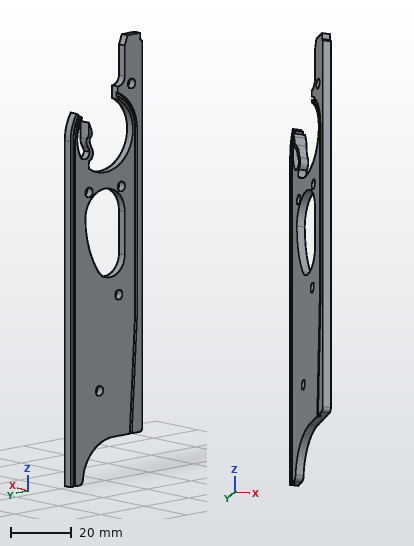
import cadquery as cq
import math

length = 148.0
width = 32.5
thickness = 2.8
boss_height = 1.3
groove_depth = 0.9
hole_diameter = 3.3

ring_y = 16.9
ring_z = 116.0
opening_radius = 12.6
arm_radius = width - ring_y
groove_inner_radius = 13.5
groove_outer_radius = 14.5
arm_end_angle = 34.5

tongue_y = 8.0
tongue_bevel_width = 1.3
tongue_bevel_height = 3.3
notch_width = 0.9
notch_height = 2.0
notch_bevel_height = 0.9
ledge_fillet = 3.1
ledge_z = 131.4

foot_z = 14.2
foot_corner_radius = 1.3
foot_arc_radius = 13.6
foot_arc_y = 13.3
toe_radius = 1.8

slot_radius = 2.2
slot_z = 111.3
latch_outer_radius = 8.6
latch_root = (24.4, 112.6)
latch_tip = (25.5, 121.5)
latch_tip_inner = (24.9, 120.2)
latch_shoulder_mid = (24.3, 118.7)
latch_shoulder = (24.0, 117.0)
latch_neck_mid = (23.7, 114.3)
boss_bottom_z = 114.7
boss_ramp_top_z = 118.1

bump_start = (22.8, 112.2)
bump_crest = (22.3, 111.0)
bump_end = (23.8, 108.3)
throat_mid = (24.3, 107.2)
throat_end_y = 24.0

window_top_radius = 8.9
window_top_z = 89.1
window_bottom_radius = 6.7
window_bottom_z = 74.6

hole_places = [(4.9, 131.5), (24.1, 97.7), (9.5, 97.7), (10.7, 61.5), (19.4, 30.5)]

groove_bend_z = 53.3
groove_foot_shift = 2.4


def ring_point(radius, degrees):
    """Point on a circle about the ring centre, angle measured from +Y toward +Z."""
    angle = math.radians(degrees)
    return (ring_y + radius * math.cos(angle), ring_z + radius * math.sin(angle))


def ring_point_at_y(radius, y, side):
    """Point of a ring circle at a given y, above (side = 1) or below (side = -1) the centre."""
    return (y, ring_z + side * math.sqrt(radius**2 - (y - ring_y) ** 2))


def ring_point_at_z(radius, z):
    """Point of a ring circle at a given z, on the +Y side of the centre."""
    return (ring_y + math.sqrt(radius**2 - (z - ring_z) ** 2), z)


def toward(start, end, distance):
    """Point at a distance from start, in the direction of end."""
    ratio = distance / math.dist(start, end)
    return (start[0] + ratio * (end[0] - start[0]), start[1] + ratio * (end[1] - start[1]))


def arc_middle(center, radius, start, end):
    """Middle of the shorter arc about center from start to end."""
    chord_middle = ((start[0] + end[0]) / 2, (start[1] + end[1]) / 2)
    return toward(center, chord_middle, radius)


def draw_latch(sketch):
    """Continue a sketch from the latch root up the slot side, over the tip and down to the bump."""
    slot_side_top = ring_point(latch_outer_radius, 0)
    slot_side_mid = arc_middle((ring_y, ring_z), latch_outer_radius, latch_root, slot_side_top)
    return (
        sketch.lineTo(*latch_root)
        .threePointArc(slot_side_mid, slot_side_top)
        .lineTo(*latch_tip)
        .lineTo(*latch_tip_inner)
        .threePointArc(latch_shoulder_mid, latch_shoulder)
        .threePointArc(latch_neck_mid, bump_start)
    )


def plate():
    ring = (ring_y, ring_z)

    foot_center = (foot_arc_y, foot_z - foot_arc_radius)
    toe_rise = foot_center[1] - toe_radius
    toe_center = (
        foot_arc_y + math.sqrt((foot_arc_radius + toe_radius) ** 2 - toe_rise**2),
        toe_radius,
    )
    toe_start = toward(foot_center, toe_center, foot_arc_radius)
    toe_end = (toe_center[0], 0)
    foot_start = (foot_arc_y, foot_z)

    arm_start = (width, ring_z)
    arm_tip = ring_point(arm_radius, arm_end_angle)
    arm_inner_tip = ring_point(opening_radius, arm_end_angle)

    slot_center = ring_point_at_z(opening_radius - slot_radius, slot_z)
    slot_start = toward(slot_center, ring, -slot_radius)
    slot_bottom = (slot_center[0], slot_z - slot_radius)
    slot_end = (slot_center[0] - slot_radius, slot_z)

    throat_end = ring_point_at_y(opening_radius, throat_end_y, -1)
    fillet_center = (tongue_y + ledge_fillet, ledge_z + ledge_fillet)
    fillet_start = (fillet_center[0], ledge_z)
    fillet_end = (tongue_y, fillet_center[1])
    ledge_bottom = ring_point_at_y(opening_radius, fillet_center[0], 1)

    corner_center = (foot_corner_radius, foot_z + foot_corner_radius)
    corner_start = (0, corner_center[1])
    corner_end = (foot_corner_radius, foot_z)

    sketch = (
        cq.Workplane("YZ")
        .moveTo(*corner_start)
        .threePointArc(arc_middle(corner_center, foot_corner_radius, corner_start, corner_end), corner_end)
        .lineTo(*foot_start)
        .threePointArc(arc_middle(foot_center, foot_arc_radius, foot_start, toe_start), toe_start)
        .threePointArc(arc_middle(toe_center, toe_radius, toe_start, toe_end), toe_end)
        .lineTo(width, 0)
        .lineTo(*arm_start)
        .threePointArc(arc_middle(ring, arm_radius, arm_start, arm_tip), arm_tip)
        .lineTo(*arm_inner_tip)
        .threePointArc(arc_middle(ring, opening_radius, arm_inner_tip, slot_start), slot_start)
        .threePointArc(slot_bottom, slot_end)
    )
    sketch = (
        draw_latch(sketch)
        .threePointArc(bump_crest, bump_end)
        .threePointArc(throat_mid, throat_end)
        .threePointArc(ring_point(opening_radius, 180), ledge_bottom)
        .lineTo(*fillet_start)
        .threePointArc(arc_middle(fillet_center, ledge_fillet, fillet_start, fillet_end), fillet_end)
        .lineTo(tongue_y, length - tongue_bevel_height)
        .lineTo(tongue_y - tongue_bevel_width, length)
        .lineTo(notch_width, length)
        .lineTo(notch_width, length - notch_height)
        .lineTo(0, length - notch_height - notch_bevel_height)
        .close()
    )
    return sketch.extrude(thickness)


def latch_boss():
    """Raised latch tip on the -X face, running out at its lower end in an S-shaped ramp."""
    sketch = cq.Workplane("YZ", origin=(-boss_height, 0, 0)).moveTo(*bump_start)
    latch = draw_latch(sketch).close().extrude(boss_height + thickness)

    ramp_middle = (-boss_height / 2, (boss_ramp_top_z + boss_bottom_z) / 2)
    side_profile = (
        cq.Workplane("XZ")
        .moveTo(-boss_height, length)
        .lineTo(-boss_height, boss_ramp_top_z)
        .tangentArcPoint(ramp_middle, relative=False)
        .tangentArcPoint((0, boss_bottom_z), relative=False)
        .lineTo(thickness, boss_bottom_z)
        .lineTo(thickness, length)
        .close()
        .extrude(-width)
    )
    return latch.intersect(side_profile)


def window():
    side_y = ring_y + window_top_radius
    bottom_y = ring_y - window_top_radius + window_bottom_radius

    across = side_y - bottom_y
    drop = window_top_z - window_bottom_z
    side_radius = (across**2 + drop**2 - window_bottom_radius**2) / (2 * (across - window_bottom_radius))
    side_center = (side_y - side_radius, window_top_z)
    side_start = (side_y, window_top_z)
    side_end = toward(side_center, (bottom_y, window_bottom_z), side_radius)

    return (
        cq.Workplane("YZ")
        .moveTo(ring_y - window_top_radius, window_top_z)
        .threePointArc((ring_y, window_top_z + window_top_radius), side_start)
        .threePointArc(arc_middle(side_center, side_radius, side_start, side_end), side_end)
        .threePointArc(
            (bottom_y, window_bottom_z - window_bottom_radius),
            (ring_y - window_top_radius, window_bottom_z),
        )
        .close()
        .extrude(thickness)
    )


def holes():
    return cq.Workplane("YZ").pushPoints(hole_places).circle(hole_diameter / 2).extrude(thickness)


def groove():
    """One arched groove in the -X face with a leg down each side of the plate."""
    inner = groove_inner_radius
    outer = groove_outer_radius
    return (
        cq.Workplane("YZ")
        .moveTo(ring_y + outer, 0)
        .lineTo(ring_y + outer, ring_z)
        .threePointArc((ring_y, ring_z + outer), (ring_y - outer, ring_z))
        .lineTo(ring_y - outer, groove_bend_z)
        .lineTo(ring_y - outer + groove_foot_shift, foot_z)
        .lineTo(ring_y - inner + groove_foot_shift, foot_z)
        .lineTo(ring_y - inner, groove_bend_z)
        .lineTo(ring_y - inner, ring_z)
        .threePointArc((ring_y, ring_z + inner), (ring_y + inner, ring_z))
        .lineTo(ring_y + inner, 0)
        .close()
        .extrude(groove_depth)
    )


result = plate().union(latch_boss()).cut(window()).cut(holes()).cut(groove())